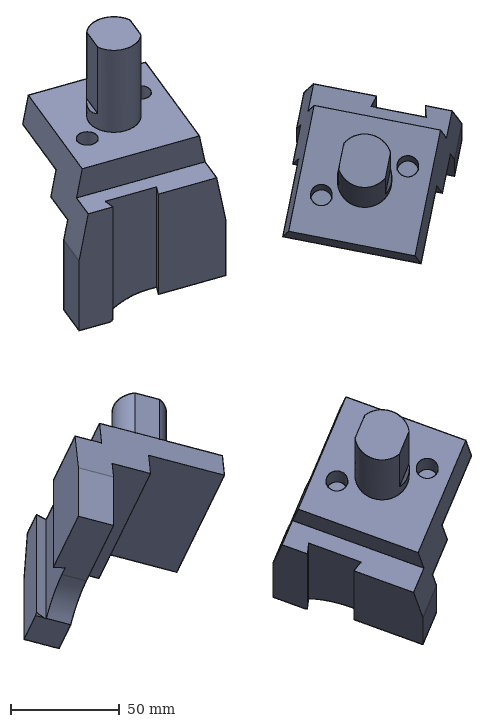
import cadquery as cq
import math

total_length = 73.0
total_width = 74.0
total_height = 131.0

plate_length = 60.0
plate_top = 83.0
upper_step = 67.0
lower_step = 52.0
taper_bottom = 40.9
taper_angle = 10.0
web_offset = 37.1
leg_thickness = 17.2

stem_diameter = 25.0
flat_width = 21.9
flat_bottom = 92.1

hole_diameter = 10.0
hole_depth = 13.1
hole_pitch_radius = 21.0
hole_angles = (120.0, 300.0)

slot_depth = 5.2
slot_floor_width = 25.8
slot_mouth_width = 22.9
slot_center_y = -8.5

relief_height = 8.3
relief_arc_end = 21.1

x_left = -plate_length / 2
x_back = x_left + total_length
x_leg = x_back - leg_thickness
x_web = x_left + web_offset
half_width = total_width / 2
top_half_width = half_width - (plate_top - taper_bottom) * math.tan(math.radians(taper_angle))


def stepped_body():
    """Stepped side profile, limited in width by the tapered end profile."""
    side = (
        cq.Workplane("XZ")
        .polyline([
            (x_left, plate_top),
            (x_left + plate_length, plate_top),
            (x_left + plate_length, upper_step),
            (x_back, upper_step),
            (x_back, 0),
            (x_leg, 0),
            (x_leg, lower_step),
            (x_web, lower_step),
            (x_web, upper_step),
            (x_left, upper_step),
        ])
        .close()
        .extrude(half_width, both=True)
    )
    arc_radius = (relief_arc_end**2 + relief_height**2) / (2 * relief_height)
    half_sweep = math.asin(relief_arc_end / arc_radius) / 2
    arc_middle = (
        -arc_radius * math.sin(half_sweep),
        relief_height - arc_radius * (1 - math.cos(half_sweep)),
    )
    end = (
        cq.Workplane("YZ", origin=(x_left, 0, 0))
        .moveTo(-half_width, 0)
        .lineTo(-relief_arc_end, 0)
        .threePointArc(arc_middle, (0, relief_height))
        .lineTo(half_width, relief_height)
        .lineTo(half_width, taper_bottom)
        .lineTo(top_half_width, plate_top)
        .lineTo(-top_half_width, plate_top)
        .lineTo(-half_width, taper_bottom)
        .close()
        .extrude(total_length)
    )
    return side.intersect(end)


def stem():
    """Round stem whose two flats run out at 45 degrees above its base."""
    stem_radius = stem_diameter / 2
    flat_half = flat_width / 2
    runout_bottom = flat_bottom - (stem_radius - flat_half)
    envelope = (
        cq.Workplane("XY", origin=(0, 0, plate_top))
        .circle(stem_radius)
        .extrude(total_height - plate_top)
    )
    flats = (
        cq.Workplane("YZ")
        .polyline([
            (-stem_radius, plate_top),
            (stem_radius, plate_top),
            (stem_radius, runout_bottom),
            (flat_half, flat_bottom),
            (flat_half, total_height),
            (-flat_half, total_height),
            (-flat_half, flat_bottom),
            (-stem_radius, runout_bottom),
        ])
        .close()
        .extrude(stem_radius, both=True)
    )
    return envelope.intersect(flats)


def plate_holes():
    """Two blind holes on opposite sides of the stem."""
    centers = [
        (
            hole_pitch_radius * math.cos(math.radians(angle)),
            hole_pitch_radius * math.sin(math.radians(angle)),
        )
        for angle in hole_angles
    ]
    return (
        cq.Workplane("XY", origin=(0, 0, plate_top))
        .pushPoints(centers)
        .circle(hole_diameter / 2)
        .extrude(-hole_depth)
    )


def dovetail_slot():
    """Vertical slot through the leg, wider at its floor than at its mouth."""
    x_floor = x_back - slot_depth
    return (
        cq.Workplane("XY")
        .polyline([
            (x_floor, slot_center_y - slot_floor_width / 2),
            (x_back, slot_center_y - slot_mouth_width / 2),
            (x_back, slot_center_y + slot_mouth_width / 2),
            (x_floor, slot_center_y + slot_floor_width / 2),
        ])
        .close()
        .extrude(upper_step)
    )


result = stepped_body().union(stem()).cut(plate_holes()).cut(dovetail_slot())